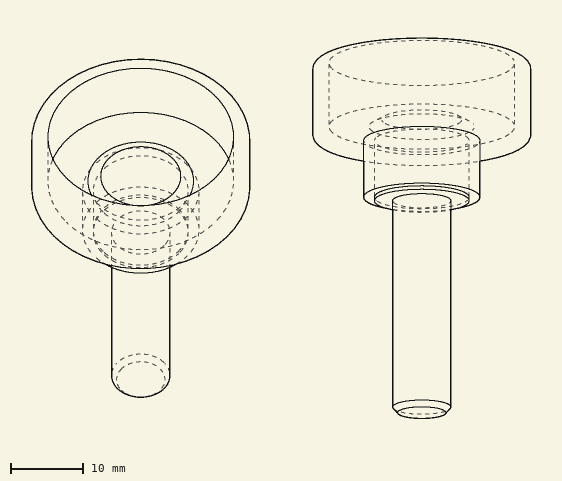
import cadquery as cq

CUP_DIAMETER = 30.0
CUP_HEIGHT = 11.0
CUP_EDGE_RADIUS = 1.0
BORE_DIAMETER = 25.5
BORE_DEPTH = 9.0
HUB_DIAMETER = 16.0
HUB_HEIGHT = 8.0

BOSS_BASE_DIAMETER = 14.5
BOSS_TOP_DIAMETER = 11.0
BOSS_HEIGHT = 1.0

TOTAL_HEIGHT = 49.5
SHANK_DIAMETER = 8.0
SHANK_CHAMFER_HEIGHT = 0.8
SHANK_CHAMFER_WIDTH = 0.7
COLLAR_DIAMETER = 13.0
COLLAR_PROJECTION = 0.5
COLLAR_SEAT_DEPTH = HUB_HEIGHT

CUP_BOTTOM = TOTAL_HEIGHT - CUP_HEIGHT
CUP_FLOOR = TOTAL_HEIGHT - BORE_DEPTH
HUB_BOTTOM = CUP_BOTTOM - HUB_HEIGHT
COLLAR_BOTTOM = HUB_BOTTOM - COLLAR_PROJECTION
COLLAR_TOP = HUB_BOTTOM + COLLAR_SEAT_DEPTH


def cylinder(diameter, bottom, top):
    """Upright cylinder on the Z axis between two levels."""
    return cq.Workplane("XY").workplane(offset=bottom).circle(diameter / 2).extrude(top - bottom)


def make_boss():
    """Raised cone with a flat top."""
    cone = cq.Solid.makeCone(
        BOSS_BASE_DIAMETER / 2,
        BOSS_TOP_DIAMETER / 2,
        BOSS_HEIGHT,
        pnt=cq.Vector(0, 0, CUP_FLOOR),
    )
    return cq.Workplane(cone)


def make_knob():
    """Rounded cup with its hub, inner boss and blind seat for the collar."""
    cup = cylinder(CUP_DIAMETER, CUP_BOTTOM, TOTAL_HEIGHT).edges().fillet(CUP_EDGE_RADIUS)
    bore = cylinder(BORE_DIAMETER, CUP_FLOOR, TOTAL_HEIGHT)
    hub = cylinder(HUB_DIAMETER, HUB_BOTTOM, CUP_BOTTOM)
    collar_seat = cylinder(COLLAR_DIAMETER, HUB_BOTTOM, COLLAR_TOP)
    return cup.cut(bore).union(hub).union(make_boss()).cut(collar_seat)


def make_stud():
    """Shank with a chamfered tip, joined to the collar."""
    shank = cylinder(SHANK_DIAMETER, 0, COLLAR_BOTTOM)
    tip_edge = shank.faces("<Z").edges()
    shank = tip_edge.chamfer(SHANK_CHAMFER_HEIGHT, SHANK_CHAMFER_WIDTH)
    return shank.union(cylinder(COLLAR_DIAMETER, COLLAR_BOTTOM, COLLAR_TOP))


knob = make_knob()
stud = make_stud()
result = cq.Compound.makeCompound([knob.val(), stud.val()])